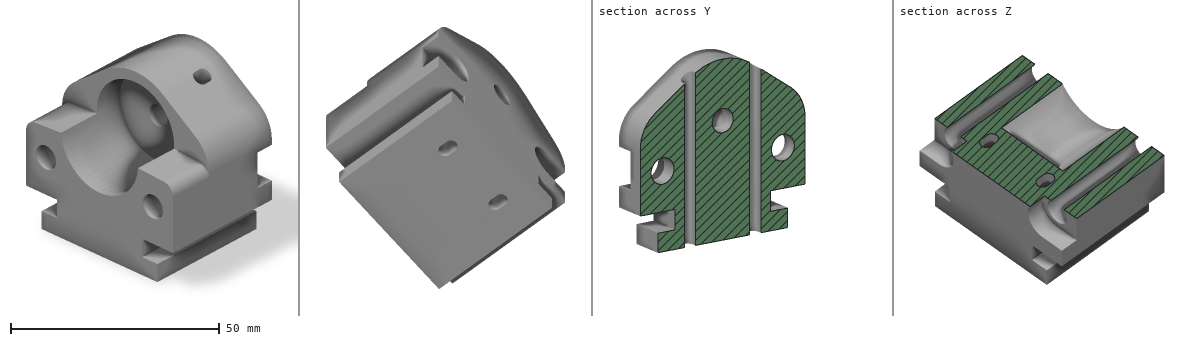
import cadquery as cq
import math

width = 48.0
depth = 35.0
height = 45.5
half_width = width / 2
shelf_depth = 12.7

foot_width = 37.8
foot_height = 5.0
neck_width = 27.95
neck_top = 10.05

bore_radius = 12.6
bore_height = 30.0
bore_depth = 20.85
shaft_hole_radius = 3.0

crown_radius = height - bore_height
shoulder_radius = 10.0
shoulder_height = 26.9

shelf_inner_height = 29.1
shelf_corner_radius = 3.0
shelf_side_height = 25.6

bolt_x = 17.45
bolt_height = 20.3
bolt_hole_radius = 3.25
bolt_slot_radius = 4.95
bolt_slot_depth = 5.0

oblong_x = 9.5
oblong_from_back = 8.95
oblong_width = 3.15
oblong_length = 5.0


def point_on_arc(center, radius, angle):
    """Point on a circle; the angle is measured from +Z towards +X."""
    return (center[0] + radius * math.sin(angle), center[1] + radius * math.cos(angle))


def mirrored(point):
    return (-point[0], point[1])


def extrude_back(profile, start, length):
    """Extrude a profile drawn in X and Z from Y = start towards the back."""
    return profile.extrude(-length).translate((0, start, 0))


def make_cylinder(x, z, radius, start, length):
    profile = cq.Workplane("XZ").center(x, z).circle(radius)
    return extrude_back(profile, start, length)


def make_body():
    """Rear housing: crown and shoulders joined by their common tangents."""
    crown = (0, bore_height)
    shoulder = (half_width - shoulder_radius, shoulder_height)
    rise = crown[1] - shoulder[1]
    spacing = math.hypot(shoulder[0], rise)
    slope = math.asin((crown_radius - shoulder_radius) / spacing) + math.atan2(rise, shoulder[0])
    crown_end = point_on_arc(crown, crown_radius, slope)
    shoulder_start = point_on_arc(shoulder, shoulder_radius, slope)
    shoulder_middle = point_on_arc(shoulder, shoulder_radius, (slope + math.pi / 2) / 2)
    profile = (
        cq.Workplane("XZ")
        .moveTo(-half_width, 0)
        .lineTo(half_width, 0)
        .lineTo(half_width, shoulder_height)
        .threePointArc(shoulder_middle, shoulder_start)
        .lineTo(*crown_end)
        .threePointArc((0, height), mirrored(crown_end))
        .lineTo(*mirrored(shoulder_start))
        .threePointArc(mirrored(shoulder_middle), (-half_width, shoulder_height))
        .close()
    )
    return extrude_back(profile, shelf_depth, depth - shelf_depth)


def make_shelf():
    """Lower front block with a rounded corner at each side."""
    corner = (half_width - shelf_corner_radius, shelf_side_height)
    run = corner[0] - bore_radius
    rise = shelf_inner_height - corner[1]
    arc_angle = math.asin(shelf_corner_radius / math.hypot(run, rise))
    slope = math.atan2(rise, run) - arc_angle
    corner_start = point_on_arc(corner, shelf_corner_radius, slope)
    corner_middle = point_on_arc(corner, shelf_corner_radius, (slope + math.pi / 2) / 2)
    profile = (
        cq.Workplane("XZ")
        .moveTo(-half_width, 0)
        .lineTo(half_width, 0)
        .lineTo(half_width, shelf_side_height)
        .threePointArc(corner_middle, corner_start)
        .lineTo(bore_radius, shelf_inner_height)
        .lineTo(-bore_radius, shelf_inner_height)
        .lineTo(*mirrored(corner_start))
        .threePointArc(mirrored(corner_middle), (-half_width, shelf_side_height))
        .close()
    )
    return extrude_back(profile, 0, shelf_depth)


def make_foot_gap(side):
    """Stepped cut that leaves half of the T-shaped foot."""
    profile = (
        cq.Workplane("XZ")
        .moveTo(side * foot_width / 2, 0)
        .lineTo(side * half_width, 0)
        .lineTo(side * half_width, neck_top)
        .lineTo(side * neck_width / 2, neck_top)
        .lineTo(side * neck_width / 2, foot_height)
        .lineTo(side * foot_width / 2, foot_height)
        .close()
    )
    return extrude_back(profile, 0, depth)


def make_bolt_cut(side):
    """Through hole with a round-ended slot running out of the side wall."""
    start = depth - bolt_slot_depth
    hole = make_cylinder(side * bolt_x, bolt_height, bolt_hole_radius, 0, depth)
    slot_end = make_cylinder(side * bolt_x, bolt_height, bolt_slot_radius, start, bolt_slot_depth)
    run = half_width - bolt_x
    slot_profile = (
        cq.Workplane("XZ")
        .center(side * (bolt_x + run / 2), bolt_height)
        .rect(run, 2 * bolt_slot_radius)
    )
    return hole.union(slot_end).union(extrude_back(slot_profile, start, bolt_slot_depth))


def make_oblong_hole(side):
    return (
        cq.Workplane("XY")
        .center(side * oblong_x, depth - oblong_from_back)
        .slot2D(oblong_length, oblong_width, 90)
        .extrude(height)
    )


result = make_body().union(make_shelf())
result = result.cut(make_cylinder(0, bore_height, bore_radius, 0, bore_depth))
result = result.cut(make_cylinder(0, bore_height, shaft_hole_radius, 0, depth))
for side in (-1, 1):
    result = result.cut(make_foot_gap(side))
    result = result.cut(make_bolt_cut(side))
    result = result.cut(make_oblong_hole(side))